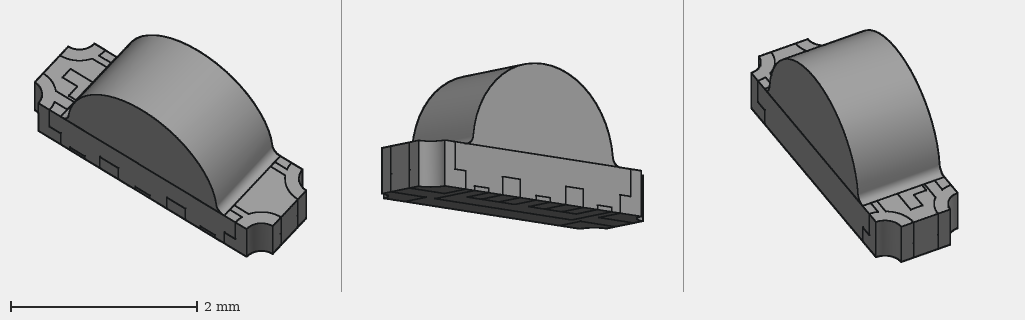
import cadquery as cq
import math

board_length = 3.2
board_width = 1.0
board_height = 0.5
half_length = board_length / 2
half_width = board_width / 2

lens_radius = 1.0
lens_foot_x = 1.1
lens_fillet = (lens_foot_x**2 - lens_radius**2) / (2 * lens_radius)

notch_radius = 0.2
ring_radius = 0.35
pad_length = 0.5
pad_width = ring_radius
pad_height = 0.2

foil_thickness = 0.05
trace_end_x = lens_foot_x
trace_outer_y = 0.4
trace_inner_y = 0.325
offset_trace_outer_y = 0.38
offset_trace_inner_y = 0.255

mark_left_x = -1.4
mark_step_x = -1.2
mark_top_y = 0.075
mark_step_y = -0.07
mark_bottom_y = -0.225

middle_pad_x = 0.45
middle_pad_length = 0.25

mask_tab_spacing = 0.875
mask_tab_length = 0.2
mask_half_width = half_width - pad_width


def block(x0, x1, y0, y1, z0, z1):
    """Axis-aligned box between two opposite corners."""
    return cq.Workplane("XY").box(x1 - x0, y1 - y0, z1 - z0, centered=False).translate((x0, y0, z0))


def corner_cylinder(x_side, y_side, radius):
    """Full-height cylinder centred on one board corner."""
    return (
        cq.Workplane("XY")
        .center(x_side * half_length, y_side * half_width)
        .circle(radius)
        .extrude(board_height)
    )


def side_block(x_side, y_side, x_range, y_range, z_range):
    """Box given by its distances from the centre planes, placed in one quadrant."""
    x0, x1 = sorted(x_side * x for x in x_range)
    y0, y1 = sorted(y_side * y for y in y_range)
    return block(x0, x1, y0, y1, *z_range)


def make_corner_terminal(x_side, y_side, trace_y_range):
    """Ring around a corner notch, with a pad at the back and a trace on the top face."""
    pad = side_block(
        x_side,
        y_side,
        (half_length - pad_length, half_length),
        (half_width - pad_width, half_width),
        (0, pad_height),
    )
    trace = side_block(
        x_side,
        y_side,
        (trace_end_x, half_length - notch_radius),
        trace_y_range,
        (board_height - foil_thickness, board_height),
    )
    ring = corner_cylinder(x_side, y_side, ring_radius).intersect(board_block)
    return ring.union(pad).union(trace).cut(corner_cylinder(x_side, y_side, notch_radius))


def make_middle_terminal(x):
    """Rectangular pad at the back of the -Y side."""
    half_pad = middle_pad_length / 2
    return block(x - half_pad, x + half_pad, -half_width, -half_width + pad_width, 0, pad_height)


def make_back_mask():
    """Strip flush with the back face, with three tabs to the -Y side."""
    half_tab = mask_tab_length / 2
    half_strip = mask_tab_spacing + half_tab
    mask = block(-half_strip, half_strip, -mask_half_width, mask_half_width, 0, foil_thickness)
    for i in (-1, 0, 1):
        x = i * mask_tab_spacing
        mask = mask.union(block(x - half_tab, x + half_tab, -half_width, 0, 0, foil_thickness))
    return mask


def make_mark():
    """L-shaped mark on the top face near the -X end."""
    return (
        cq.Workplane("XY")
        .workplane(offset=board_height - foil_thickness)
        .moveTo(-trace_end_x, mark_top_y)
        .lineTo(mark_left_x, mark_top_y)
        .lineTo(mark_left_x, mark_step_y)
        .lineTo(mark_step_x, mark_step_y)
        .lineTo(mark_step_x, mark_bottom_y)
        .lineTo(-trace_end_x, mark_bottom_y)
        .close()
        .extrude(foil_thickness)
    )


def make_lens():
    """Half cylinder whose foot fillets are tangent to the dome and to the top face."""
    share = lens_radius / (lens_radius + lens_fillet)
    tangent_x = lens_foot_x * share
    tangent_z = board_height + lens_fillet * share
    half_angle = (math.pi / 2 - math.atan2(lens_fillet, lens_foot_x)) / 2
    middle_x = lens_foot_x - lens_fillet * math.sin(half_angle)
    middle_z = board_height + lens_fillet - lens_fillet * math.cos(half_angle)
    return (
        cq.Workplane("XZ", origin=(0, half_width, 0))
        .moveTo(-lens_foot_x, board_height)
        .threePointArc((-middle_x, middle_z), (-tangent_x, tangent_z))
        .threePointArc((0, board_height + lens_radius), (tangent_x, tangent_z))
        .threePointArc((middle_x, middle_z), (lens_foot_x, board_height))
        .close()
        .extrude(board_width)
    )


board_block = block(-half_length, half_length, -half_width, half_width, 0, board_height)

corner_terminals = []
for x_side in (-1, 1):
    for y_side in (-1, 1):
        if x_side < 0 and y_side < 0:
            trace_y_range = (offset_trace_inner_y, offset_trace_outer_y)
        else:
            trace_y_range = (trace_inner_y, trace_outer_y)
        corner_terminals.append(make_corner_terminal(x_side, y_side, trace_y_range))

middle_terminals = [make_middle_terminal(side * middle_pad_x) for side in (-1, 1)]
back_mask = make_back_mask()
mark = make_mark()
lens = make_lens()

inlaid_bodies = [*corner_terminals, *middle_terminals, back_mask, mark]
board = board_block
for x_side in (-1, 1):
    for y_side in (-1, 1):
        board = board.cut(corner_cylinder(x_side, y_side, notch_radius))
for body in inlaid_bodies:
    board = board.cut(body)

result = cq.Compound.makeCompound([board.val(), lens.val(), *[body.val() for body in inlaid_bodies]])